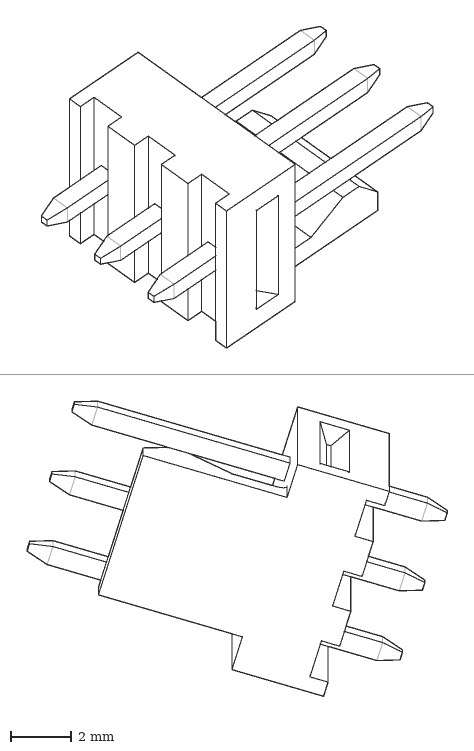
import cadquery as cq

pitch = 2.54
pin_count = 3
body_width = 7.47
body_depth = 3.185
body_height = 6.35

groove_depth = 0.635
rib_width = pitch / 2
end_wall = 0.52

pocket_height = 4.57
pocket_bottom = 0.86
pocket_mouth_width = 1.02
pocket_floor_width = 0.15
pocket_back_wall = 0.78
pocket_depth = 0.7

pin_size = 0.66
pin_tip_size = 0.28
pin_taper = 0.75
pin_height = 3.105
pin_back_length = 7.43
pin_length = 12.95

latch_width = (pin_count - 1) * pitch
latch_length = 5.0
latch_thickness = 0.85
latch_tip_height = 0.85
hook_height = 1.7
hook_crest_back = 4.13
hook_crest_front = 3.38
hook_ramp_foot = 1.9
latch_fillet = 0.38

pin_positions = [(i - (pin_count - 1) / 2) * pitch for i in range(pin_count)]


def make_body():
    """Block with its back face on Y = 0 and vertical grooves in its front face."""
    body = cq.Workplane("XY").box(body_width, body_depth, body_height, centered=(True, False, False))
    body = body.translate((0, -body_depth, 0))

    groove_span = body_width - 2 * end_wall
    grooves = (
        cq.Workplane("XY")
        .box(groove_span, groove_depth, body_height, centered=(True, False, False))
        .translate((0, -body_depth, 0))
    )
    for left_pin, right_pin in zip(pin_positions, pin_positions[1:]):
        rib = (
            cq.Workplane("XY")
            .box(rib_width, groove_depth, body_height, centered=(True, False, False))
            .translate(((left_pin + right_pin) / 2, -body_depth, 0))
        )
        grooves = grooves.cut(rib)
    return body.cut(grooves)


def make_end_pocket():
    """Pocket in the -X end, narrowing in Y toward a flat floor."""
    mouth_x = -body_width / 2
    floor_x = mouth_x + pocket_depth
    centre_y = -pocket_back_wall - pocket_mouth_width / 2
    return (
        cq.Workplane("XY", origin=(0, 0, pocket_bottom))
        .polyline([
            (mouth_x, centre_y + pocket_mouth_width / 2),
            (floor_x, centre_y + pocket_floor_width / 2),
            (floor_x, centre_y - pocket_floor_width / 2),
            (mouth_x, centre_y - pocket_mouth_width / 2),
        ])
        .close()
        .extrude(pocket_height)
    )


def make_latch():
    """Spring arm along the bottom, with a hook at its end and a fillet at its root."""
    return (
        cq.Workplane("YZ")
        .moveTo(0, 0)
        .lineTo(latch_length, 0)
        .lineTo(latch_length, latch_tip_height)
        .lineTo(hook_crest_back, hook_height)
        .lineTo(hook_crest_front, hook_height)
        .lineTo(hook_ramp_foot, latch_thickness)
        .lineTo(latch_fillet, latch_thickness)
        .radiusArc((0, latch_thickness + latch_fillet), latch_fillet)
        .close()
        .extrude(latch_width / 2, both=True)
    )


def make_pin_tip(base_y, tip_y):
    """Pyramid frustum from the full pin section to the blunt tip."""
    return (
        cq.Workplane("XZ", origin=(0, base_y, pin_height))
        .rect(pin_size, pin_size)
        .workplane(offset=base_y - tip_y)
        .rect(pin_tip_size, pin_tip_size)
        .loft(ruled=True)
    )


def make_pin():
    """Square pin along Y, tapered at both ends."""
    back_y = pin_back_length
    front_y = pin_back_length - pin_length
    shank_length = pin_length - 2 * pin_taper
    shank = (
        cq.Workplane("XY")
        .box(pin_size, shank_length, pin_size)
        .translate((0, (back_y + front_y) / 2, pin_height))
    )
    back_tip = make_pin_tip(back_y - pin_taper, back_y)
    front_tip = make_pin_tip(front_y + pin_taper, front_y)
    return shank.union(back_tip).union(front_tip)


end_pocket = make_end_pocket()
result = make_body().cut(end_pocket).cut(end_pocket.mirror("YZ"))
result = result.union(make_latch())

pin = make_pin()
for pin_x in pin_positions:
    result = result.union(pin.translate((pin_x, 0, 0)))